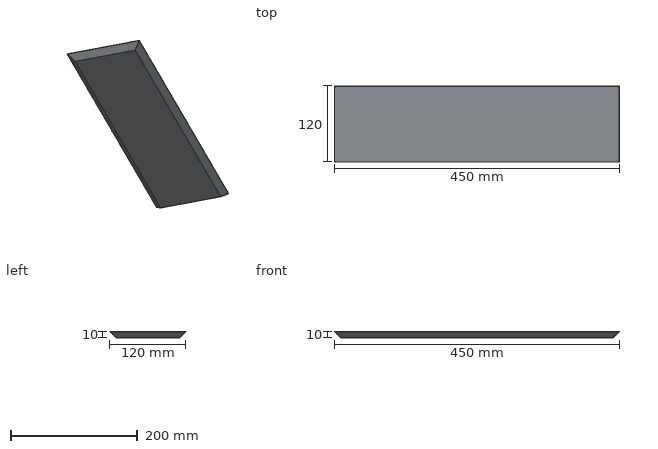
import cadquery as cq

length = 450.0
width = 120.0
thickness = 10.0
bevel_inset = 10.0

bottom_length = length - 2 * bevel_inset
bottom_width = width - 2 * bevel_inset


def beveled_plate():
    """Loft from the smaller bottom rectangle up to the full-size top rectangle."""
    return (
        cq.Workplane("XY")
        .rect(bottom_length, bottom_width)
        .workplane(offset=thickness)
        .rect(length, width)
        .loft(ruled=True)
    )


result = beveled_plate()